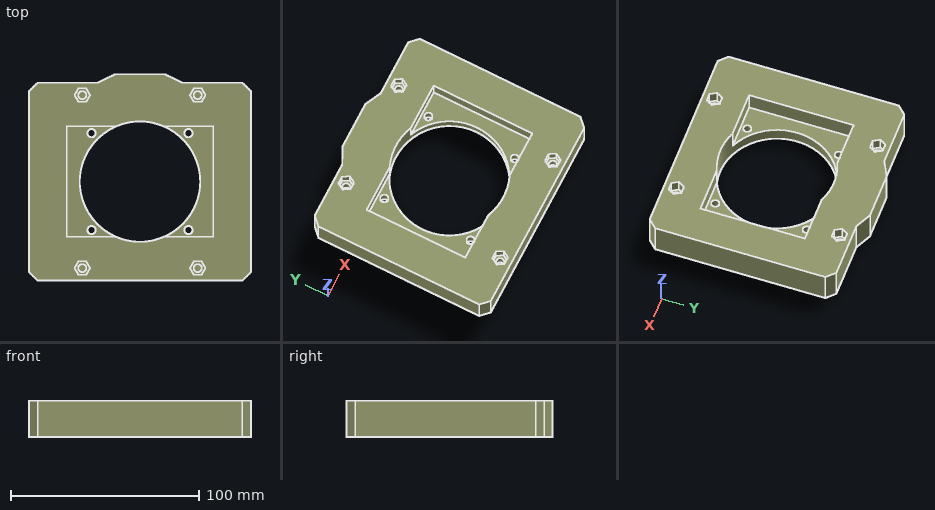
import cadquery as cq

plate_width = 118.2
plate_depth = 105.2
plate_height = 19.5
corner_chamfer = 4.6

tab_projection = 4.5
tab_base_width = 45.0
tab_tip_width = 26.7

bore_diameter = 64.0
pocket_width = 78.1
pocket_depth_y = 58.9
pocket_floor_depth = 11.3

mount_hole_diameter = 4.3
mount_hole_spacing = 51.5

nut_across_corners = 8.3
nut_recess_depth = 7.1
screw_hole_diameter = 4.3
screw_hole_depth = 14.2
screw_spacing_x = 61.3
screw_spacing_y = 92.0


def make_plate():
    """Chamfered plate with the tapered tab, its bottom face at Z = 0."""
    body = (
        cq.Workplane("XY")
        .rect(plate_width, plate_depth)
        .extrude(plate_height)
        .edges("|Z")
        .chamfer(corner_chamfer)
    )
    edge_y = plate_depth / 2
    tip_y = edge_y + tab_projection
    tab = (
        cq.Workplane("XY")
        .moveTo(-tab_base_width / 2, 0)
        .lineTo(-tab_base_width / 2, edge_y)
        .lineTo(-tab_tip_width / 2, tip_y)
        .lineTo(tab_tip_width / 2, tip_y)
        .lineTo(tab_base_width / 2, edge_y)
        .lineTo(tab_base_width / 2, 0)
        .close()
        .extrude(plate_height)
    )
    return body.union(tab)


def top_plane():
    return cq.Workplane("XY", origin=(0, 0, plate_height))


def cut_opening(part):
    """Cut the bore through the plate and the rectangular pocket from the top."""
    bore = top_plane().circle(bore_diameter / 2).extrude(-plate_height)
    pocket = top_plane().rect(pocket_width, pocket_depth_y).extrude(-pocket_floor_depth)
    return part.cut(bore).cut(pocket)


def cut_mount_holes(part):
    holes = (
        top_plane()
        .rarray(mount_hole_spacing, mount_hole_spacing, 2, 2)
        .circle(mount_hole_diameter / 2)
        .extrude(-plate_height)
    )
    return part.cut(holes)


def cut_nut_recesses(part):
    """Cut the hexagonal recesses, corners along X, and the blind holes below them."""
    pattern = top_plane().rarray(screw_spacing_x, screw_spacing_y, 2, 2)
    recesses = pattern.polygon(6, nut_across_corners).extrude(-nut_recess_depth)
    holes = pattern.circle(screw_hole_diameter / 2).extrude(-screw_hole_depth)
    return part.cut(recesses).cut(holes)


result = cut_nut_recesses(cut_mount_holes(cut_opening(make_plate())))